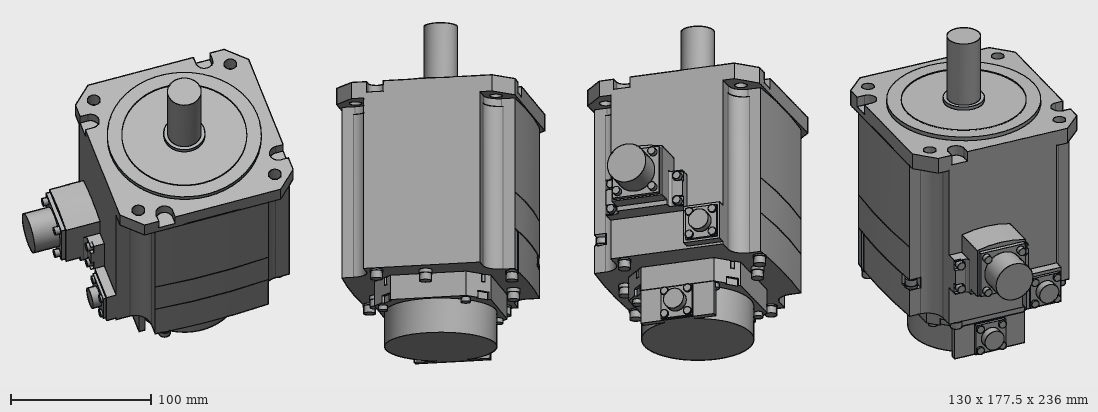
import cadquery as cq
import math


shaft_dia = 24.0
shaft_top = 55.0
collar_dia = 29.5
collar_top = 5.0
pilot_dia = 110.0
pilot_height = 3.0
pilot_recess_dia = 89.2
pilot_recess_depth = 0.7
flange_side = 130.0
flange_half = flange_side / 2
flange_corner_cut = 14.0
flange_bottom = -12.0
mount_hole_dia = 9.0
mount_hole_offset = 51.2
head_pocket_dia = 12.3
head_pocket_depth = 7.8

spigot_bottom = -17.7
frame_bottom = -81.2
band_bottom = -108.0
cover_bottom = -137.8
face_half = 42.5
side_edge_half = 63.0
frame_bow_half = 64.7
band_bow_half = flange_half
spigot_notch_radius = 10.9
frame_notch_radius = 12.0

bolt_offset = 59.2
bolt_shift = 34.2
tie_bolt_circle = 52.0
tie_bolt_angles = (90, 195, 345)
rear_head_dia = 8.5
short_bolt_height = 6.5
short_washer_height = 1.2
tie_bolt_height = 8.0
tie_washer_height = 2.8
washer_overhang = 1.0
groove_radius = 2.1
pocket_width = 10.9
pocket_floor_x = -54.0
pocket_depth = 8.5
pocket_washer_height = 2.0
pocket_head_height = 6.8

stage_bottom = -155.8
stage_corner_cut = 14.9
stage_slot_centre = (-38.0, 32.0)
stage_slot_width = 9.5
stage_slot_depth = 2.0
stage_slot_height = 5.2
stage_groove_dia = 2.8
stage_groove_length = 5.7
length_overall = 236
cap_bottom = shaft_top - length_overall
cap_radius = 40.1
cap_plate_half = face_half - stage_corner_cut
cap_front = 43.0
cap_plate_thickness = 4.5
cap_bolt_centre = (-26.0, 36.5)
cap_head_dia = 6.5
cap_head_height = 3.3

depth_overall = 177.5
connector_reach = depth_overall - flange_half
power_x = -13.5
power_z = -86.0
power_foot_end = 15.3
power_foot_depth = 10.1
power_box_width = 38.0
power_box_depth = 25.5
power_box_top = -67.0
power_box_crown = 2.4
power_box_fillet = 2.1
power_undercut_depth = 10.6
power_undercut_height = 3.5
power_plate_width = 35.2
power_plate_thickness = 3.0
power_barrel_dia = 29.0
power_screw_dia = 5.7
power_screw_spacing = 27.0
power_screw_height = 4.0
foot_screw_dia = 6.0
foot_screw_spacing_x = 50.0
foot_screw_spacing_z = 18.9
foot_screw_height = 4.5
spotface_width = 7.0
spotface_depth = 2.4

brake_x = 29.3
brake_z = -122.5
brake_block_depth = 7.0
brake_block_bottom = -136.0
encoder_z = -168.5
small_plate_width = 23.5
small_plate_thickness = 2.1
small_barrel_dia = 15.0
small_barrel_length = 6.1
small_screw_dia = 5.7
small_screw_spacing = 17.5
small_screw_height = 1.7


def cylinder(dia, bottom, top, centre=(0, 0)):
    return cq.Workplane("XY").workplane(offset=bottom).center(*centre).circle(dia / 2).extrude(top - bottom)


def block(x_range, y_range, z_range):
    size = [high - low for low, high in (x_range, y_range, z_range)]
    corner = (x_range[0], y_range[0], z_range[0])
    return cq.Workplane("XY").box(*size, centered=False).translate(corner)


def four_around(solid):
    """Repeat a solid every 90 degrees around the motor axis."""
    group = solid
    for turn in (90, 180, 270):
        group = group.union(solid.rotate((0, 0, 0), (0, 0, 1), turn))
    return group


def chamfered_square(half, corner_cut, top, bottom):
    side = cq.Workplane("XY").workplane(offset=bottom).rect(2 * half, 2 * half).extrude(top - bottom)
    return side.edges("|Z").chamfer(corner_cut)


def notched_section(top, bottom, bow_half, notch_radius):
    """Square section with bowed X sides and a hollow, rounded notch in each corner."""
    flank = face_half + notch_radius
    hollow = flank - notch_radius * math.sqrt(0.5)
    outline = (
        cq.Workplane("XY").workplane(offset=bottom)
        .moveTo(side_edge_half, -face_half)
        .threePointArc((bow_half, 0), (side_edge_half, face_half))
        .lineTo(flank, face_half)
        .threePointArc((hollow, hollow), (face_half, flank))
        .lineTo(face_half, flange_half)
        .lineTo(-face_half, flange_half)
        .lineTo(-face_half, flank)
        .threePointArc((-hollow, hollow), (-flank, face_half))
        .lineTo(-side_edge_half, face_half)
        .threePointArc((-bow_half, 0), (-side_edge_half, -face_half))
        .lineTo(-flank, -face_half)
        .threePointArc((-hollow, -hollow), (-face_half, -flank))
        .lineTo(-face_half, -flange_half)
        .lineTo(face_half, -flange_half)
        .lineTo(face_half, -flank)
        .threePointArc((hollow, -hollow), (flank, -face_half))
        .close()
    )
    return outline.extrude(top - bottom)


def hanging_bolt(centre, seat, washer_height, total_height):
    """Washer and bolt head hanging below a seat face."""
    head = cylinder(rear_head_dia, seat - total_height, seat, centre)
    washer = cylinder(rear_head_dia + washer_overhang, seat - washer_height, seat, centre)
    return head.union(washer)


def forward_cylinders(dia, points, y_back, length):
    """Cylinders pointing to -Y, centred on (x, z) points."""
    plane = cq.Workplane("XZ", origin=(0, y_back, 0))
    return plane.pushPoints(points).circle(dia / 2).extrude(length)


def square_pattern(x, z, spacing_x, spacing_z):
    return [(x + i * spacing_x / 2, z + k * spacing_z / 2) for i in (-1, 1) for k in (-1, 1)]


def small_connector(x, z, seat_y):
    """Square plate with a round barrel and four corner screws, facing -Y."""
    half = small_plate_width / 2
    front = seat_y - small_plate_thickness
    screws = square_pattern(x, z, small_screw_spacing, small_screw_spacing)
    plate = block((x - half, x + half), (front, seat_y), (z - half, z + half))
    barrel = forward_cylinders(small_barrel_dia, [(x, z)], front, small_barrel_length)
    return plate.union(barrel).union(forward_cylinders(small_screw_dia, screws, front, small_screw_height))


def make_flange():
    flange = chamfered_square(flange_half, flange_corner_cut, 0, flange_bottom)
    holes = (
        cq.Workplane("XY").workplane(offset=flange_bottom)
        .rect(2 * mount_hole_offset, 2 * mount_hole_offset, forConstruction=True).vertices()
        .circle(mount_hole_dia / 2).extrude(-flange_bottom)
    )
    pocket_centre = (-bolt_shift, -bolt_offset)
    pocket = cylinder(head_pocket_dia, -head_pocket_depth, 0, pocket_centre).union(
        block(
            (-bolt_shift - head_pocket_dia / 2, -bolt_shift + head_pocket_dia / 2),
            (-flange_half, -bolt_offset),
            (-head_pocket_depth, 0),
        )
    )
    flange = flange.cut(holes).cut(four_around(pocket))
    pilot = cylinder(pilot_dia, 0, pilot_height)
    pilot = pilot.cut(cylinder(pilot_recess_dia, pilot_height - pilot_recess_depth, pilot_height))
    collar = cylinder(collar_dia, 0, collar_top)
    return flange.union(pilot).union(collar).union(cylinder(shaft_dia, 0, shaft_top))


def make_body():
    body = notched_section(flange_bottom, spigot_bottom, frame_bow_half, spigot_notch_radius)
    body = body.union(notched_section(spigot_bottom, frame_bottom, frame_bow_half, frame_notch_radius))
    body = body.union(notched_section(frame_bottom, band_bottom, band_bow_half, frame_notch_radius))
    cover = notched_section(band_bottom, cover_bottom, frame_bow_half, frame_notch_radius)
    cover = cover.cut(cylinder(2 * groove_radius, cover_bottom, band_bottom, (-frame_bow_half, bolt_shift)))
    pocket_y = (-face_half, pocket_width - face_half)
    pocket_floor_z = band_bottom - pocket_depth
    cover = cover.cut(block((-flange_half, pocket_floor_x), pocket_y, (pocket_floor_z, band_bottom)))
    head_centre = (-bolt_offset, -face_half + pocket_width / 2)
    head = cylinder(rear_head_dia, pocket_floor_z, pocket_floor_z + pocket_head_height, head_centre)
    washer_dia = rear_head_dia + washer_overhang
    washer = cylinder(washer_dia, pocket_floor_z, pocket_floor_z + pocket_washer_height, head_centre)
    return body.union(cover).union(head).union(washer)


def make_rear_bolts():
    short_centre = (-bolt_offset, bolt_shift)
    short_bolt = hanging_bolt(short_centre, cover_bottom, short_washer_height, short_bolt_height)
    bolts = four_around(short_bolt)
    for angle in tie_bolt_angles:
        turn = math.radians(angle)
        centre = (tie_bolt_circle * math.cos(turn), tie_bolt_circle * math.sin(turn))
        bolts = bolts.union(hanging_bolt(centre, cover_bottom, tie_washer_height, tie_bolt_height))
    return bolts


def make_encoder():
    stage = chamfered_square(face_half, stage_corner_cut, cover_bottom, stage_bottom)
    slot = (
        cq.Workplane("XY")
        .box(2 * stage_slot_depth, stage_slot_width, stage_slot_height, centered=(True, True, False))
        .rotate((0, 0, 0), (0, 0, 1), -45)
        .translate((*stage_slot_centre, stage_bottom))
    )
    groove_bottom = cover_bottom - stage_groove_length
    groove = cylinder(stage_groove_dia, groove_bottom, cover_bottom, stage_slot_centre)
    stage = stage.cut(four_around(slot.union(groove)))
    cap = cylinder(2 * cap_radius, cap_bottom, stage_bottom)
    plate_y = (-cap_front, cap_plate_thickness - cap_front)
    cap = cap.union(block((-cap_plate_half, cap_plate_half), plate_y, (cap_bottom, stage_bottom)))
    heads = four_around(cylinder(cap_head_dia, stage_bottom - cap_head_height, stage_bottom, cap_bolt_centre))
    return stage.union(cap).union(heads).union(small_connector(0, encoder_z, -cap_front))


def make_power_foot_and_box():
    foot_front = -flange_half - power_foot_depth
    box_front = -flange_half - power_box_depth
    foot = block((-face_half, power_foot_end), (foot_front, -flange_half), (band_bottom, frame_bottom))
    half = power_box_width / 2
    box = (
        cq.Workplane("XZ", origin=(0, -flange_half, 0))
        .moveTo(power_x - half, band_bottom).lineTo(power_x + half, band_bottom)
        .lineTo(power_x + half, power_box_top)
        .threePointArc((power_x, power_box_top + power_box_crown), (power_x - half, power_box_top))
        .close().extrude(power_box_depth)
    )
    undercut = block(
        (power_x - half, power_x + half),
        (box_front, box_front + power_undercut_depth),
        (band_bottom, band_bottom + power_undercut_height),
    )
    housing = foot.union(box)
    for side in (-1, 1):
        corner = cq.selectors.NearestToPointSelector(
            (power_x + side * half, foot_front, (frame_bottom + band_bottom) / 2)
        )
        housing = housing.edges("|Z").edges(corner).fillet(power_box_fillet)
    return housing.cut(undercut)


def make_power_connector():
    seat_y = -flange_half - power_foot_depth + spotface_depth
    box_front = -flange_half - power_box_depth
    plate_front = box_front - power_plate_thickness
    connector = make_power_foot_and_box()

    foot_z = (frame_bottom + band_bottom) / 2
    foot_screws = square_pattern(power_x, foot_z, foot_screw_spacing_x, foot_screw_spacing_z)
    connector = connector.cut(forward_cylinders(spotface_width, foot_screws, seat_y, spotface_depth))
    for x, z in foot_screws:
        x_range = (-face_half, x) if x < power_x else (x, power_foot_end)
        z_range = (z - spotface_width / 2, z + spotface_width / 2)
        connector = connector.cut(block(x_range, (seat_y - spotface_depth, seat_y), z_range))
    connector = connector.union(forward_cylinders(foot_screw_dia, foot_screws, seat_y, foot_screw_height))

    plate_half = power_plate_width / 2
    plate = block(
        (power_x - plate_half, power_x + plate_half),
        (plate_front, box_front),
        (power_z - plate_half, power_z + plate_half),
    )
    screws = square_pattern(power_x, power_z, power_screw_spacing, power_screw_spacing)
    barrel_length = connector_reach + plate_front
    barrel = forward_cylinders(power_barrel_dia, [(power_x, power_z)], plate_front, barrel_length)
    heads = forward_cylinders(power_screw_dia, screws, plate_front, power_screw_height)
    return connector.union(plate).union(barrel).union(heads)


def make_brake_connector():
    block_front = -flange_half - brake_block_depth
    base = block(
        (power_foot_end, face_half), (block_front, -flange_half), (brake_block_bottom, band_bottom)
    )
    return base.union(small_connector(brake_x, brake_z, block_front))


result = (
    make_flange()
    .union(make_body())
    .union(make_rear_bolts())
    .union(make_encoder())
    .union(make_power_connector())
    .union(make_brake_connector())
)